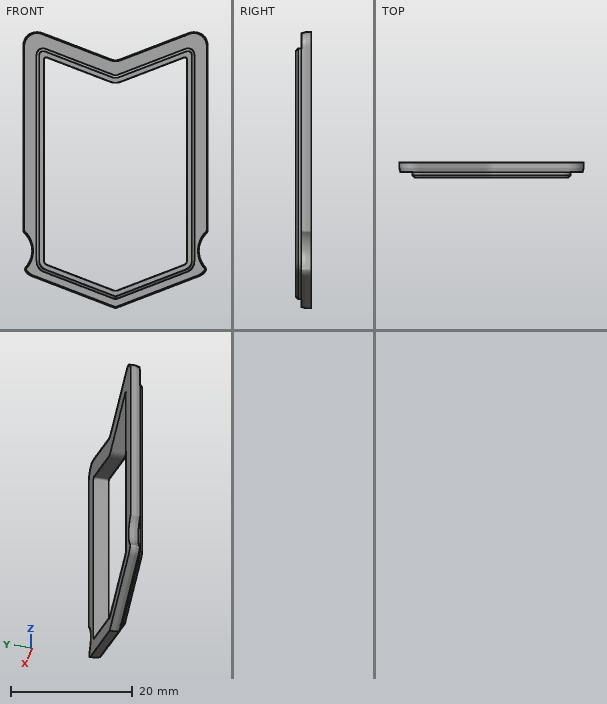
import cadquery as cq
import math

WIDTH = 30.4
HEIGHT = 45.5
SLOPE = math.radians(21)

BACK_DEPTH = 0.95
TAPER_DEPTH = 0.7
TAPER_INSET = 0.2
RIM_HEIGHT = 0.95
RIM_CHAMFER = 0.45
PLATE_DEPTH = BACK_DEPTH + TAPER_DEPTH
TOTAL_DEPTH = PLATE_DEPTH + RIM_HEIGHT

CORNER_RADIUS = 2.27
VALLEY_RADIUS = 2.27

NOTCH_RADIUS = 4.1
NOTCH_DEPTH = 1.45
NOTCH_Z = 9.45
NOTCH_END_RADIUS = 0.45

OPENING_HALF_WIDTH = 11.75
OPENING_BOTTOM = 2.8
OPENING_VALLEY = 36.95
OPENING_TOP_RADIUS = 0.3
OPENING_LOWER_RADIUS = 0.7
OPENING_APEX_RADIUS = 0.9
RIM_WIDTH = 1.27
RIM_TOP_RADIUS = 1.1
RIM_VALLEY_RADIUS = 1.1
OPENING_VALLEY_RADIUS = RIM_VALLEY_RADIUS + RIM_WIDTH
RIM_LOWER_RADIUS = OPENING_LOWER_RADIUS + RIM_WIDTH

SELECT_MARGIN = 0.005


def chevron(half_width, bottom, valley, depth):
    """Extrude a shield with a notched top and a pointed bottom from the back toward -Y."""
    rise = half_width * math.tan(SLOPE)
    points = [
        (0, bottom),
        (half_width, bottom + rise),
        (half_width, valley + rise),
        (0, valley),
        (-half_width, valley + rise),
        (-half_width, bottom + rise),
    ]
    return cq.Workplane("XZ").polyline(points).close().extrude(depth)


def round_edges(body, x, z, radius):
    """Round the Y-parallel edges at (x, z) and its mirror image."""
    for side in sorted({x, -x}):
        box = cq.selectors.BoxSelector(
            (side - SELECT_MARGIN, -TOTAL_DEPTH, z - SELECT_MARGIN),
            (side + SELECT_MARGIN, TOTAL_DEPTH, z + SELECT_MARGIN),
        )
        body = body.edges("|Y").edges(box).fillet(radius)
    return body


def make_plate():
    half_width = WIDTH / 2
    rise = half_width * math.tan(SLOPE)
    corner_loss = CORNER_RADIUS * (math.tan(SLOPE) + 1 / math.cos(SLOPE) - 1)
    valley = HEIGHT + corner_loss - rise
    plate = chevron(half_width, 0, valley, PLATE_DEPTH)
    plate = round_edges(plate, half_width, valley + rise, CORNER_RADIUS)
    plate = round_edges(plate, half_width, rise, CORNER_RADIUS)
    plate = round_edges(plate, 0, valley, VALLEY_RADIUS)

    notch_x = half_width - NOTCH_DEPTH + NOTCH_RADIUS
    notches = (
        cq.Workplane("XZ")
        .pushPoints([(-notch_x, NOTCH_Z), (notch_x, NOTCH_Z)])
        .circle(NOTCH_RADIUS)
        .extrude(PLATE_DEPTH)
    )
    plate = plate.cut(notches)
    half_chord = math.sqrt(NOTCH_RADIUS**2 - (NOTCH_RADIUS - NOTCH_DEPTH) ** 2)
    plate = round_edges(plate, half_width, NOTCH_Z + half_chord, NOTCH_END_RADIUS)

    lower_ends = cq.selectors.BoxSelector(
        (-half_width, -PLATE_DEPTH, rise), (half_width, 0, NOTCH_Z)
    )
    plate = plate.edges("|Y").edges(lower_ends).fillet(NOTCH_END_RADIUS)
    return plate.faces("<Y").chamfer(TAPER_DEPTH, TAPER_INSET)


def make_rim():
    half_width = OPENING_HALF_WIDTH + RIM_WIDTH
    rise = half_width * math.tan(SLOPE)
    slanted_width = RIM_WIDTH / math.cos(SLOPE)
    bottom = OPENING_BOTTOM - slanted_width
    valley = OPENING_VALLEY + slanted_width
    rim = chevron(half_width, bottom, valley, TOTAL_DEPTH)
    rim = round_edges(rim, half_width, valley + rise, RIM_TOP_RADIUS)
    rim = round_edges(rim, half_width, bottom + rise, RIM_LOWER_RADIUS)
    rim = round_edges(rim, 0, valley, RIM_VALLEY_RADIUS)
    return rim.faces("<Y").chamfer(RIM_CHAMFER)


def make_opening():
    rise = OPENING_HALF_WIDTH * math.tan(SLOPE)
    opening = chevron(OPENING_HALF_WIDTH, OPENING_BOTTOM, OPENING_VALLEY, TOTAL_DEPTH)
    opening = round_edges(opening, OPENING_HALF_WIDTH, OPENING_VALLEY + rise, OPENING_TOP_RADIUS)
    opening = round_edges(opening, OPENING_HALF_WIDTH, OPENING_BOTTOM + rise, OPENING_LOWER_RADIUS)
    opening = round_edges(opening, 0, OPENING_VALLEY, OPENING_VALLEY_RADIUS)
    return round_edges(opening, 0, OPENING_BOTTOM, OPENING_APEX_RADIUS)


result = make_plate().union(make_rim()).cut(make_opening())